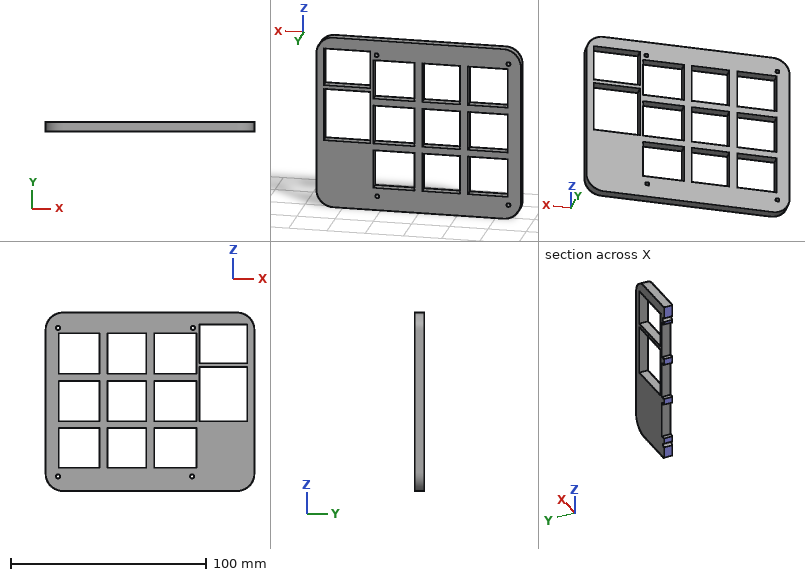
import cadquery as cq

plate_width = 107.04
plate_height = 91.49
plate_thickness = 5.0
corner_radius = 9.0

key_columns = [(6.9, 27.6), (31.8, 51.6), (55.7, 77.2)]
key_rows = [(12.0, 32.2), (35.9, 56.3), (60.1, 80.8)]

side_column = (78.9, 103.2)
side_rows = [(key_rows[1][0], 63.5), (65.6, 85.3)]

screw_diameter = 2.0
left_screw_x = 6.45
lower_screw_z = 7.55
upper_screw_z = 83.6
screw_centres = [
    (left_screw_x, lower_screw_z),
    (left_screw_x, upper_screw_z),
    (75.1, lower_screw_z),
    (75.5, upper_screw_z),
]


def front_sketch():
    """Workplane on the front face (Y = 0), local axes X and Z, normal toward -Y."""
    return cq.Workplane("XZ")


def make_plate():
    """Plain plate with its four upright-outline corners rounded."""
    return (
        front_sketch()
        .rect(plate_width, plate_height, centered=False)
        .extrude(-plate_thickness)
        .edges("|Y")
        .fillet(corner_radius)
    )


def opening(x_span, z_span):
    """Rectangular through-cutter covering the given X and Z spans."""
    x_start, x_end = x_span
    z_start, z_end = z_span
    return (
        front_sketch()
        .moveTo(x_start, z_start)
        .rect(x_end - x_start, z_end - z_start, centered=False)
        .extrude(-plate_thickness)
    )


def screw_holes():
    """Through-cutters for the four screws."""
    return front_sketch().pushPoints(screw_centres).circle(screw_diameter / 2).extrude(-plate_thickness)


plate = make_plate()
for column in key_columns:
    for row in key_rows:
        plate = plate.cut(opening(column, row))
for row in side_rows:
    plate = plate.cut(opening(side_column, row))

result = plate.cut(screw_holes())